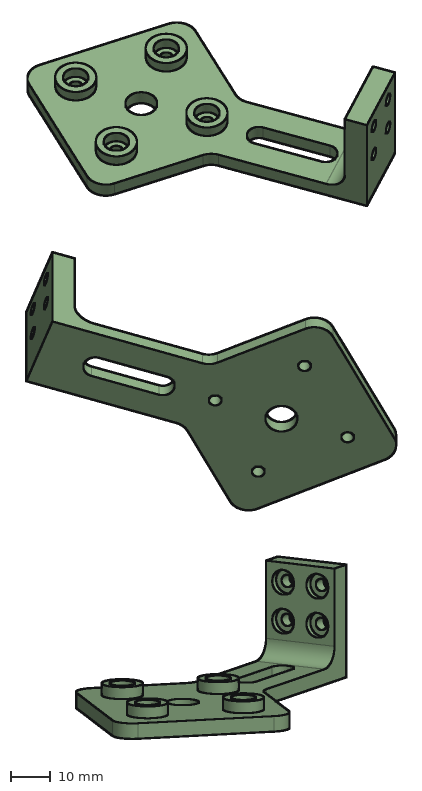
import cadquery as cq
import math

overall_length = 75.75
overall_height = 29.0

plate_side = 46.0
plate_thickness = 4.0
corner_radius = 5.2
centre_hole_diameter = 8.0

boss_spacing = 25.0
boss_diameter = 10.4
boss_height = 3.0
boss_counterbore_depth = boss_height

screw_diameter = 3.2
counterbore_diameter = 6.4

arm_width = 20.0
arm_root_radius = 5.0
upright_thickness = 6.0
bend_radius = 5.0
upright_hole_spacing = 10.0
upright_hole_centre_height = 18.9
upright_counterbore_depth = 2.0

slot_width = 6.0
slot_centre_spacing = 18.0
slot_distance = 40.7

arm_angle = 45
diagonal = math.sqrt(2)
plate_centre = plate_side / 2
arm_length = (overall_length - plate_centre) * diagonal - arm_width / 2
upright_face = arm_length - upright_thickness
plate_top = cq.Workplane("XY", origin=(plate_centre, plate_centre, plate_thickness))


def along_arm(body):
    """Turn a body built along +X onto the diagonal through the plate centre."""
    turned = body.rotate((0, 0, 0), (0, 0, 1), arm_angle)
    return turned.translate((plate_centre, plate_centre, 0))


def make_base():
    """Plate and flat arm, with rounded corners and arm roots."""
    plate = cq.Workplane("XY").box(plate_side, plate_side, plate_thickness, centered=False)
    plate = plate.edges("|Z").fillet(corner_radius)
    arm = cq.Workplane("XY").box(arm_length, arm_width, plate_thickness, centered=(False, True, False))
    base = plate.union(along_arm(arm))
    root_near = plate_side - arm_width / diagonal
    for x, y in ((root_near, plate_side), (plate_side, root_near)):
        root = cq.selectors.NearestToPointSelector((x, y, plate_thickness / 2))
        base = base.edges(root).fillet(arm_root_radius)
    return base


def make_upright():
    """Upright wall with a concave bend and four counterbored holes facing the plate."""
    profile = (
        cq.Workplane("XZ", origin=(0, arm_width / 2, 0))
        .moveTo(arm_length, 0)
        .lineTo(arm_length, overall_height)
        .lineTo(upright_face, overall_height)
        .lineTo(upright_face, plate_thickness + bend_radius)
        .radiusArc((upright_face - bend_radius, plate_thickness), bend_radius)
        .lineTo(upright_face - bend_radius, 0)
        .close()
    )
    wall = profile.extrude(arm_width)
    wall = (
        wall.copyWorkplane(cq.Workplane("YZ", origin=(upright_face, 0, upright_hole_centre_height)))
        .transformed(rotate=(0, 180, 0))
        .rarray(upright_hole_spacing, upright_hole_spacing, 2, 2)
        .cboreHole(screw_diameter, counterbore_diameter, upright_counterbore_depth)
    )
    return along_arm(wall)


def make_slot():
    """Cutter for the slot through the arm."""
    slot = cq.Workplane("XY").center(slot_distance, 0)
    return along_arm(slot.slot2D(slot_centre_spacing + slot_width, slot_width).extrude(plate_thickness))


def add_bosses(body):
    """Four bosses around the plate centre, counterbored from above."""
    pattern = plate_top.rarray(boss_spacing, boss_spacing, 2, 2)
    body = body.union(pattern.circle(boss_diameter / 2).extrude(boss_height))
    boss_tops = plate_top.workplane(offset=boss_height)
    return (
        body.copyWorkplane(boss_tops)
        .rarray(boss_spacing, boss_spacing, 2, 2)
        .cboreHole(screw_diameter, counterbore_diameter, boss_counterbore_depth)
    )


result = make_base().union(make_upright()).cut(make_slot())
result = add_bosses(result)
result = result.cut(plate_top.circle(centre_hole_diameter / 2).extrude(-plate_thickness))